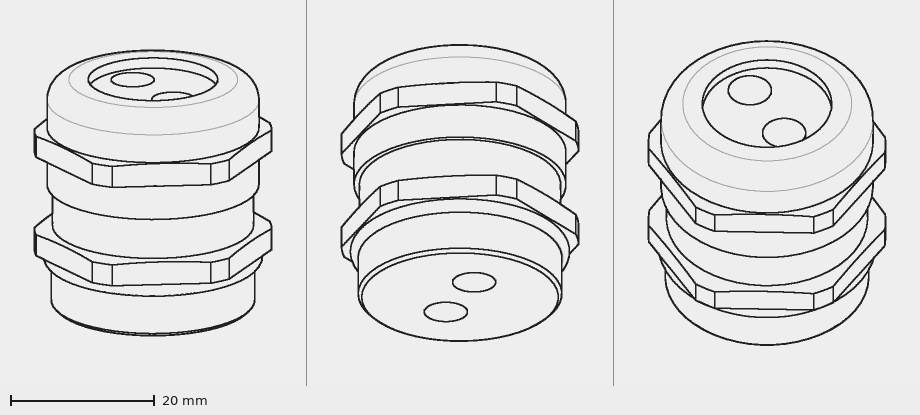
import cadquery as cq
import math

RING_BOTTOM_Z = 6.1
LOWER_HEX_BOTTOM_Z = 8.0
CAP_BOTTOM_Z = 17.5
UPPER_HEX_BOTTOM_Z = 22.5
TOTAL_HEIGHT = 33.0

THREAD_DIAMETER = 28.35
THREAD_CHAMFER = 0.5
NECK_DIAMETER = 28.0
CAP_DIAMETER = 29.5
CAP_FILLET = 3.0

RING_DIAMETER = 30.5
RING_HEIGHT = LOWER_HEX_BOTTOM_Z - RING_BOTTOM_Z

HEX_ACROSS_FLATS = 30.0
HEX_ACROSS_CORNERS = 33.0
HEX_EDGE_HEIGHT = 3.07
HEX_CONE_ANGLE = 10.0

RECESS_DIAMETER = 18.0
RECESS_DEPTH = 1.5
CABLE_HOLE_DIAMETER = 6.0
CABLE_HOLE_SPACING = 10.0


def cylinder(diameter, bottom_z, top_z):
    """Upright cylinder on the Z axis."""
    return cq.Workplane("XY").workplane(offset=bottom_z).circle(diameter / 2).extrude(top_z - bottom_z)


def wrench_hexagon(bottom_z, inner_diameter):
    """Hexagon with turned corners and a shallow conical top rising to the inner diameter."""
    inner_radius = inner_diameter / 2
    corner_radius = HEX_ACROSS_CORNERS / 2
    edge_z = bottom_z + HEX_EDGE_HEIGHT
    peak_z = edge_z + (corner_radius - inner_radius) * math.tan(math.radians(HEX_CONE_ANGLE))
    prism_diameter = HEX_ACROSS_FLATS / math.cos(math.pi / 6)
    prism = cq.Workplane("XY").workplane(offset=bottom_z).polygon(6, prism_diameter).extrude(peak_z - bottom_z)
    turned_blank = (
        cq.Workplane("XZ")
        .moveTo(0, bottom_z)
        .lineTo(corner_radius, bottom_z)
        .lineTo(corner_radius, edge_z)
        .lineTo(inner_radius, peak_z)
        .lineTo(0, peak_z)
        .close()
        .revolve(360, (0, 0, 0), (0, 1, 0))
    )
    return prism.intersect(turned_blank)


def sealing_ring():
    """Disc with a fully rounded rim."""
    rim_radius = RING_DIAMETER / 2
    arc_radius = RING_HEIGHT / 2
    return (
        cq.Workplane("XZ")
        .moveTo(0, RING_BOTTOM_Z)
        .lineTo(rim_radius - arc_radius, RING_BOTTOM_Z)
        .threePointArc(
            (rim_radius, RING_BOTTOM_Z + arc_radius),
            (rim_radius - arc_radius, LOWER_HEX_BOTTOM_Z),
        )
        .lineTo(0, LOWER_HEX_BOTTOM_Z)
        .close()
        .revolve(360, (0, 0, 0), (0, 1, 0))
    )


def gland_body():
    """Threaded end, ring, neck, cap and both hexagons as one solid."""
    thread = cylinder(THREAD_DIAMETER, 0, RING_BOTTOM_Z).faces("<Z").chamfer(THREAD_CHAMFER)
    neck = cylinder(NECK_DIAMETER, LOWER_HEX_BOTTOM_Z, CAP_BOTTOM_Z)
    cap = cylinder(CAP_DIAMETER, CAP_BOTTOM_Z, TOTAL_HEIGHT).faces(">Z").edges().fillet(CAP_FILLET)
    lower_hex = wrench_hexagon(LOWER_HEX_BOTTOM_Z, NECK_DIAMETER)
    upper_hex = wrench_hexagon(UPPER_HEX_BOTTOM_Z, CAP_DIAMETER)
    return thread.union(sealing_ring()).union(neck).union(cap).union(lower_hex).union(upper_hex)


def cable_openings():
    """Shallow recess in the top face and the cable holes running right through."""
    openings = cylinder(RECESS_DIAMETER, TOTAL_HEIGHT - RECESS_DEPTH, TOTAL_HEIGHT)
    for side in (-1, 1):
        hole = cylinder(CABLE_HOLE_DIAMETER, 0, TOTAL_HEIGHT)
        openings = openings.union(hole.translate((side * CABLE_HOLE_SPACING / 2, 0, 0)))
    return openings


result = gland_body().cut(cable_openings())